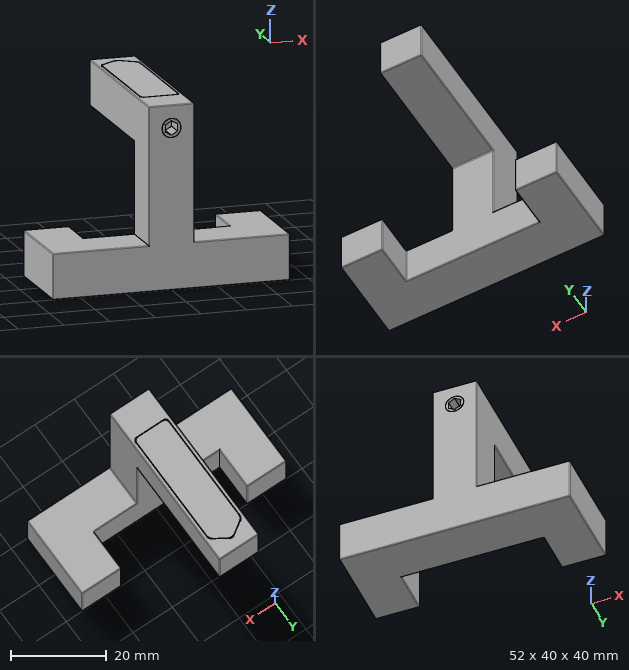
import cadquery as cq

base_length = 52
arm_height = 40.0
arm_reach = arm_height
base_depth = arm_height / 2
bar = arm_height / 4
edge_radius = 0.2

insert_width = 8.2
insert_start = 7.65
insert_shoulder = 34.8
insert_tip = 37.55
insert_depth = 2.6
insert_gap = 0.1

insert_nose_radius = 1.8
insert_end_radius = 1.05
pocket_nose_radius = 1.05
pocket_end_radius = 0.75

screw_diameter = 4.05
screw_hole_diameter = 4.15
screw_length = 7.55
screw_height = arm_height - bar / 2
socket_width = 2.7
socket_depth = 4.15


def bar_box(x_size, y_size, z_size):
    """Box centred on X, with its front face at Y = 0 and its underside at Z = 0."""
    return cq.Workplane("XY").box(x_size, y_size, z_size, centered=(True, False, False))


def round_edges(body, sharp_points):
    """Round every edge except the ones whose midpoints are nearest to the given points."""
    sharp = [body.edges(cq.selectors.NearestToPointSelector(point)).val() for point in sharp_points]
    rounded = [edge for edge in body.edges().vals() if not any(edge.isSame(s) for s in sharp)]
    return body.newObject(rounded).fillet(edge_radius)


def make_frame_body():
    """Base and arm in one piece, before the pocket and the screw hole are cut."""
    notch = bar_box(base_length - 2 * bar, base_depth, bar).translate((0, bar, 0))
    base = bar_box(base_length, base_depth, bar).cut(notch)
    post = bar_box(bar, bar, arm_height)
    arm = bar_box(bar, arm_reach, bar).translate((0, 0, arm_height - bar))
    body = base.union(post).union(arm).clean()

    post_foot = (-bar / 2, bar / 2, bar)
    notch_corner = (bar - base_length / 2, bar, bar / 2)
    return round_edges(body, [post_foot, notch_corner])


def pointed_plate(clearance, nose_radius, end_radius):
    """Pointed outline, grown by a clearance, sunk from the top of the arm."""
    half_width = insert_width / 2
    outline = [
        (-half_width, insert_start),
        (half_width, insert_start),
        (half_width, insert_shoulder),
        (0, insert_tip),
        (-half_width, insert_shoulder),
    ]
    plate = cq.Workplane("XY").workplane(offset=arm_height - insert_depth).polyline(outline).close()
    if clearance > 0:
        plate = plate.offset2D(clearance, "intersection")
    plate = plate.extrude(insert_depth)

    middle = (insert_start + insert_tip) / 2
    nose_region = cq.selectors.BoxSelector((-bar, middle, 0), (bar, arm_reach, arm_height))
    plate = plate.edges("|Z").edges("<Y").fillet(end_radius)
    return plate.edges(nose_region).edges("|Z").fillet(nose_radius)


def screw_cylinder(diameter):
    """Cylinder running back from the front face of the arm at the screw height."""
    return cq.Workplane("XZ").center(0, screw_height).circle(diameter / 2).extrude(-screw_length)


def make_frame():
    pocket = pointed_plate(insert_gap, pocket_nose_radius, pocket_end_radius)
    return make_frame_body().cut(pocket).cut(screw_cylinder(screw_hole_diameter))


def make_insert():
    return pointed_plate(0, insert_nose_radius, insert_end_radius)


def make_screw():
    """Set screw with a hexagon socket in its front end."""
    socket = (
        cq.Workplane("XZ")
        .center(0, screw_height)
        .polygon(6, socket_width, circumscribed=True)
        .extrude(-socket_depth)
    )
    return screw_cylinder(screw_diameter).cut(socket)


frame = make_frame().solids()
insert = make_insert().solids()
screw = make_screw().solids()

result = cq.Compound.makeCompound([frame.val(), insert.val(), screw.val()])